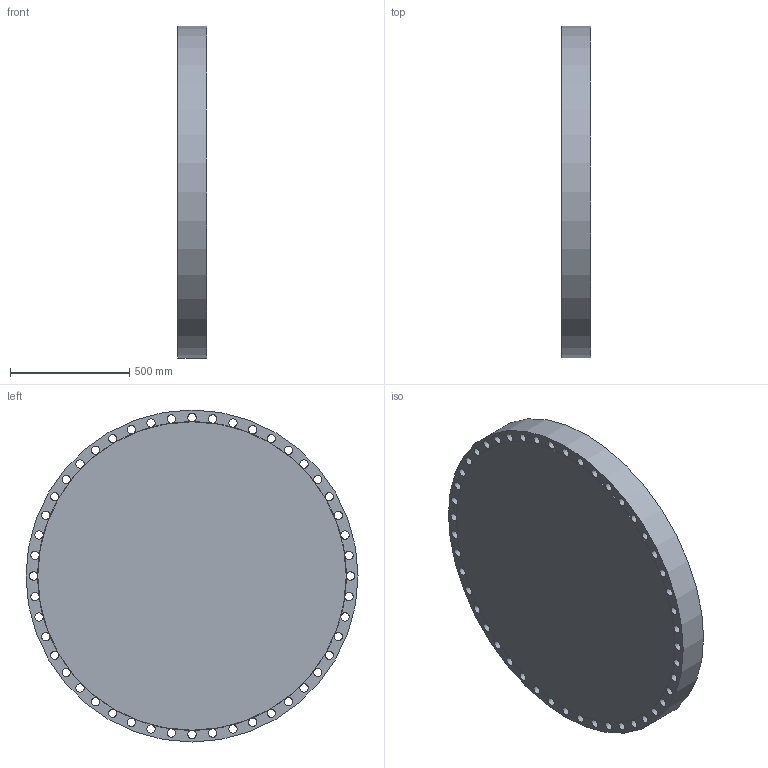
import cadquery as cq

flange_diameter = 1390.65
flange_thickness = 120.65
raised_face_diameter = 1292.225
raised_face_height = 1.5875

bolt_hole_count = 48
bolt_hole_diameter = 34.925
bolt_circle_diameter = 1327.15

overall_thickness = flange_thickness + raised_face_height


def disc(x_start, diameter, thickness):
    """Solid disc about the X axis, extending from x_start toward +X."""
    return cq.Workplane("YZ", origin=(x_start, 0, 0)).circle(diameter / 2).extrude(thickness)


def bolt_holes():
    """Through-hole cutters evenly spaced on the bolt circle, the first on the +Y axis."""
    return (
        cq.Workplane("YZ")
        .polarArray(bolt_circle_diameter / 2, 0, 360, bolt_hole_count, rotate=False)
        .circle(bolt_hole_diameter / 2)
        .extrude(overall_thickness)
    )


flange = disc(raised_face_height, flange_diameter, flange_thickness)
raised_face = disc(0, raised_face_diameter, overall_thickness)

result = flange.union(raised_face).cut(bolt_holes())